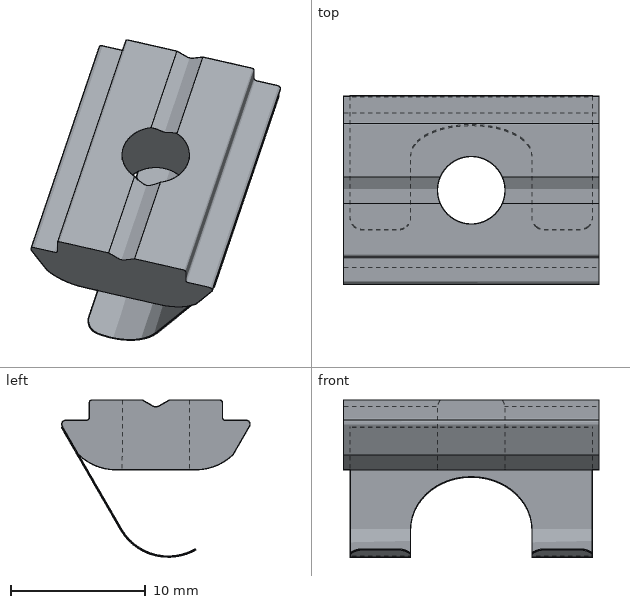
import cadquery as cq
import math


nut_length = 19.0
nut_width = 14.0
nut_height = 5.2
neck_width = 9.9
neck_height = 1.5
neck_edge_radius = 0.2
flange_edge_radius = 0.3
flank_angle = math.radians(60)
belly_radius = 4.0
belly_flat_width = 5.9
hole_diameter = 5.0

groove_width = 2.0
groove_angle = math.radians(30)
groove_root_radius = 0.5

leaf_width = 18.0
leaf_thickness = 0.1
leaf_overhang = 0.02
leaf_bottom = -11.69
leaf_inner_radius = 4.0
leaf_tip_angle = math.radians(30)
tip_corner_radius = 1.0
window_width = 9.0

flank_sin = math.sin(flank_angle)
flank_cos = math.cos(flank_angle)
flank_top_y = nut_width / 2 - flange_edge_radius * (1 - flank_sin)
flank_top_z = -neck_height - flange_edge_radius * (1 + flank_cos)


def flank_z(y):
    """Height of the +Y flank at a given Y."""
    return flank_top_z - (flank_top_y - y) * math.tan(flank_angle)


def flank_belly_corner():
    """Point where the +Y flank line runs into the belly arc."""
    arc_y = belly_flat_width / 2
    arc_z = -nut_height + belly_radius
    to_y = flank_top_y - arc_y
    to_z = flank_top_z - arc_z
    along = to_y * flank_cos + to_z * flank_sin
    travel = along + math.sqrt(along**2 - to_y**2 - to_z**2 + belly_radius**2)
    return flank_top_y - travel * flank_cos, flank_top_z - travel * flank_sin


def half_profile():
    """Closed profile of the +Y half of the nut, without the groove."""
    center_y = belly_flat_width / 2
    center_z = -nut_height + belly_radius
    corner_y, corner_z = flank_belly_corner()
    middle_angle = (math.atan2(corner_z - center_z, corner_y - center_y) - math.pi / 2) / 2
    belly_middle = (
        center_y + belly_radius * math.cos(middle_angle),
        center_z + belly_radius * math.sin(middle_angle),
    )

    neck_y = neck_width / 2
    edge_y = nut_width / 2 - flange_edge_radius
    edge_z = -neck_height - flange_edge_radius
    edge_angle = flank_angle / 2
    edge_middle = (
        edge_y + flange_edge_radius * math.cos(edge_angle),
        edge_z + flange_edge_radius * math.sin(edge_angle),
    )
    return (
        cq.Workplane("YZ")
        .moveTo(0, 0)
        .lineTo(neck_y - neck_edge_radius, 0)
        .radiusArc((neck_y, -neck_edge_radius), neck_edge_radius)
        .lineTo(neck_y, -neck_height + neck_edge_radius)
        .radiusArc((neck_y + neck_edge_radius, -neck_height), -neck_edge_radius)
        .lineTo(edge_y, -neck_height)
        .threePointArc(edge_middle, (flank_top_y, flank_top_z))
        .lineTo(corner_y, corner_z)
        .threePointArc(belly_middle, (center_y, -nut_height))
        .lineTo(0, -nut_height)
        .close()
    )


def make_groove():
    """V groove cutter with a rounded root."""
    edge_y = groove_width / 2
    root_y = groove_root_radius * math.sin(groove_angle)
    root_z = -(edge_y - root_y) * math.tan(groove_angle)
    root_depth = root_z - groove_root_radius * (1 - math.cos(groove_angle))
    return (
        cq.Workplane("YZ")
        .moveTo(-edge_y, 0)
        .lineTo(-root_y, root_z)
        .threePointArc((0, root_depth), (root_y, root_z))
        .lineTo(edge_y, 0)
        .close()
        .extrude(nut_length / 2, both=True)
    )


def make_nut():
    half = half_profile().extrude(nut_length / 2, both=True)
    hole = cq.Workplane("XY").circle(hole_diameter / 2).extrude(-nut_height)
    return half.union(half.mirror("XZ")).cut(make_groove()).cut(hole)


def make_leaf():
    """Sheet lying on the +Y flank, running straight down and then curling toward -Y."""
    outer_radius = leaf_inner_radius + leaf_thickness
    top_y = nut_width / 2 + leaf_overhang - leaf_thickness * flank_sin
    top_z = flank_z(top_y)
    bend_center_z = leaf_bottom + outer_radius
    bend_start_z = bend_center_z - leaf_inner_radius * flank_cos
    bend_start_y = top_y - (top_z - bend_start_z) / math.tan(flank_angle)
    bend_center_y = bend_start_y - leaf_inner_radius * flank_sin

    def on_bend(radius, angle):
        """Point on the bend, angle measured from straight down toward +Y."""
        return bend_center_y + radius * math.sin(angle), bend_center_z - radius * math.cos(angle)

    top_outer = (top_y + leaf_thickness * flank_sin, top_z - leaf_thickness * flank_cos)
    sheet = (
        cq.Workplane("YZ")
        .moveTo(top_y, top_z)
        .lineTo(bend_start_y, bend_start_z)
        .threePointArc(on_bend(leaf_inner_radius, 0), on_bend(leaf_inner_radius, -leaf_tip_angle))
        .lineTo(*on_bend(outer_radius, -leaf_tip_angle))
        .threePointArc(on_bend(outer_radius, 0), on_bend(outer_radius, flank_angle))
        .lineTo(*top_outer)
        .close()
        .extrude(leaf_width / 2, both=True)
    )

    window_plane = cq.Plane(
        origin=(0, bend_start_y, bend_start_z),
        xDir=(1, 0, 0),
        normal=(0, -flank_sin, flank_cos),
    )
    window_reach = 2 * outer_radius
    window = (
        cq.Workplane(window_plane)
        .moveTo(-window_width / 2, 0)
        .threePointArc((0, window_width / 2), (window_width / 2, 0))
        .lineTo(window_width / 2, -window_reach)
        .lineTo(-window_width / 2, -window_reach)
        .close()
        .extrude(window_reach, both=True)
    )
    leaf = sheet.cut(window)

    tip_plane = cq.Plane(
        origin=(0, *on_bend(leaf_inner_radius, -leaf_tip_angle)),
        xDir=(1, 0, 0),
        normal=(0, math.sin(leaf_tip_angle), math.cos(leaf_tip_angle)),
    )
    for side in (-1, 1):
        for corner_x, inward in ((window_width / 2, 1), (leaf_width / 2, -1)):
            round_x = side * (corner_x + inward * tip_corner_radius)
            corner = (
                cq.Workplane(tip_plane)
                .center(side * corner_x, 0)
                .rect(2 * tip_corner_radius, 2 * tip_corner_radius)
                .extrude(tip_corner_radius, both=True)
            )
            rounding = (
                cq.Workplane(tip_plane)
                .center(round_x, tip_corner_radius)
                .circle(tip_corner_radius)
                .extrude(tip_corner_radius, both=True)
            )
            leaf = leaf.cut(corner.cut(rounding))
    return leaf


result = make_nut().union(make_leaf())